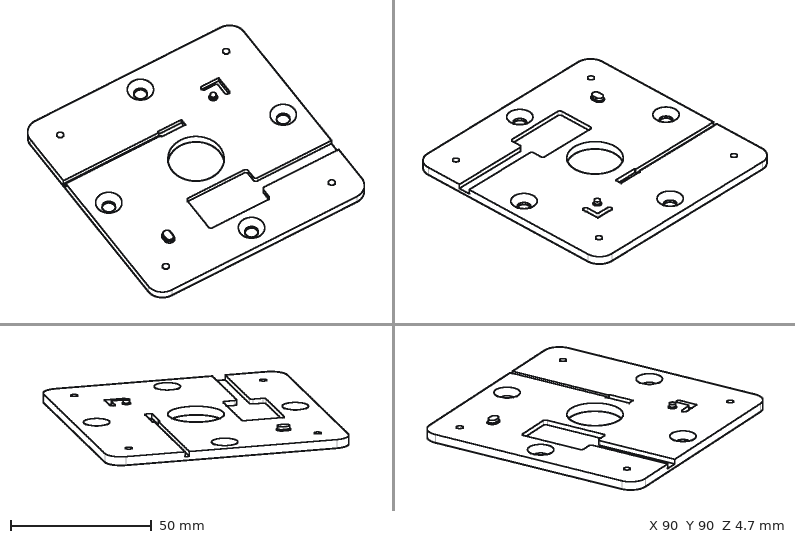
import cadquery as cq
import math

plate_size = 90.0
plate_thickness = 3.2
corner_radius = 6.0
overall_height = 4.7
half_size = plate_size / 2

center_hole_diameter = 20.0
screw_offset = 36.7
screw_hole_diameter = 4.8
countersink_diameter = 9.4
countersink_angle = 90
small_hole_offset = 34.9
small_hole_diameter = 2.4

pocket_depth = 1.8
pocket_x = 21.3
pocket_width = 15.8
pocket_length = 25.5
channel_width = 4.8
pocket_corner_radius = 1.0

groove_depth = 1.8
groove_x = -16.2
groove_width = 1.5
groove_end_width = 2.7
groove_end_bottom = -4.9
groove_end_top = 5.0

mark_depth = 1.8
mark_left = -26.3
mark_top = 26.3
mark_leg_length = 7.8
mark_leg_width = 1.9
mark_tip_radius = 0.8
mark_inner_radius = 0.5

boss_height = overall_height - plate_thickness
foot_flare = 0.405
foot_height = 0.405
pin_center = (-20.0, 20.0)
pin_diameter = 2.25
key_center = (24.5, -27.3)
key_length = 4.5
key_width = 3.0


def box_cutter(x_min, x_max, y_min, y_max, depth):
    """Box sunk from the top face of the plate."""
    return (
        cq.Workplane("XY", origin=(0, 0, plate_thickness - depth))
        .moveTo((x_min + x_max) / 2, (y_min + y_max) / 2)
        .rect(x_max - x_min, y_max - y_min)
        .extrude(depth)
    )


def make_plate():
    plate = (
        cq.Workplane("XY")
        .rect(plate_size, plate_size)
        .extrude(plate_thickness)
        .edges("|Z")
        .fillet(corner_radius)
    )
    plate = plate.faces(">Z").workplane().hole(center_hole_diameter)
    screw_points = [(screw_offset, 0), (0, screw_offset), (-screw_offset, 0), (0, -screw_offset)]
    plate = (
        plate.faces(">Z")
        .workplane()
        .pushPoints(screw_points)
        .cskHole(screw_hole_diameter, countersink_diameter, countersink_angle)
    )
    return (
        plate.faces(">Z")
        .workplane()
        .rect(2 * small_hole_offset, 2 * small_hole_offset, forConstruction=True)
        .vertices()
        .hole(small_hole_diameter)
    )


def pocket_cutter():
    pocket = box_cutter(
        pocket_x - pocket_width / 2,
        pocket_x + pocket_width / 2,
        -pocket_length / 2,
        pocket_length / 2,
        pocket_depth,
    )
    channel = box_cutter(
        pocket_x - channel_width / 2,
        pocket_x + channel_width / 2,
        0,
        half_size,
        pocket_depth,
    )
    inside_plate = cq.selectors.BoxSelector(
        (-half_size, -half_size, 0), (half_size, half_size - corner_radius, overall_height)
    )
    return pocket.union(channel).edges("|Z").edges(inside_plate).fillet(pocket_corner_radius)


def groove_cutter():
    groove = box_cutter(
        groove_x - groove_width / 2,
        groove_x + groove_width / 2,
        -half_size,
        groove_end_bottom,
        groove_depth,
    )
    wide_end = box_cutter(
        groove_x - groove_end_width / 2,
        groove_x + groove_end_width / 2,
        groove_end_bottom,
        groove_end_top,
        groove_depth,
    )
    return groove.union(wide_end)


def mark_cutter():
    mark_right = mark_left + mark_leg_length
    mark_bottom = mark_top - mark_leg_length
    inner_x = mark_left + mark_leg_width
    inner_y = mark_top - mark_leg_width
    across = box_cutter(mark_left, mark_right, inner_y, mark_top, mark_depth)
    down = box_cutter(mark_left, inner_x, mark_bottom, mark_top, mark_depth)
    across = across.edges("|Z and >X").fillet(mark_tip_radius)
    down = down.edges("|Z and <Y").fillet(mark_tip_radius)
    inner_corner = cq.selectors.NearestToPointSelector(
        (inner_x, inner_y, plate_thickness - mark_depth / 2)
    )
    return across.union(down).edges("|Z").edges(inner_corner).fillet(mark_inner_radius)


def make_boss(center, length, width):
    """Round-ended boss on the top face; equal length and width make a round pin."""
    foot_length = length + 2 * foot_flare
    foot_width = width + 2 * foot_flare
    taper = math.degrees(math.atan2(foot_flare, foot_height))
    base = cq.Workplane("XY", origin=(*center, plate_thickness))
    if length == width:
        foot = base.circle(foot_width / 2).extrude(foot_height, taper=taper)
        return base.circle(width / 2).extrude(boss_height).union(foot)
    foot = base.slot2D(foot_length, foot_width).extrude(foot_height, taper=taper)
    return base.slot2D(length, width).extrude(boss_height).union(foot)


result = make_plate().cut(pocket_cutter()).cut(groove_cutter()).cut(mark_cutter())
result = result.union(make_boss(pin_center, pin_diameter, pin_diameter))
result = result.union(make_boss(key_center, key_length, key_width))